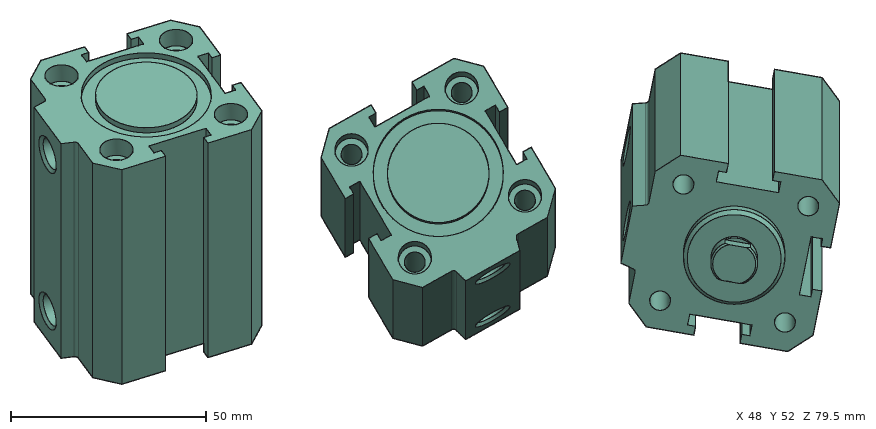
import cadquery as cq
import math

body_width = 48.0
body_height = 72.0
corner_chamfer = 5.58
half_width = body_width / 2

slot_mouth_width = 12.0
slot_channel_width = 16.2
slot_lip = 2.5
slot_depth = 5.5
slot_angles = (0, 90, -90)

rail_height = 4.0
rail_face_width = 16.0
rail_draft = math.radians(15)
rail_root_radius = 1.0
edge_tolerance = 0.1
rail_face_y = -half_width - rail_height

port_diameter = 8.57
port_mouth_diameter = 10.2
port_chamfer = (port_mouth_diameter - port_diameter) / 2
port_depth = 10.0
port_end_distance = 9.75

mount_spacing = 32.5
mount_diameter = 5.3
mount_counterbore_diameter = 8.5
mount_counterbore_depth = 5.5

recess_diameter = 33.3
recess_depth = 1.7
disc_diameter = 26.0

collar_diameter = 26.0
collar_length = 3.5
collar_chamfer = 1.0

rod_diameter = 12.0
rod_tip_z = -7.5
rod_flat_width = 10.0
rod_flat_top_z = -4.5
rod_tip_chamfer = 0.5
rod_top_z = body_height / 2


def make_profile():
    """Chamfered square with the tapered port rail on its -Y face."""
    square = (
        cq.Workplane("XY")
        .rect(body_width, body_width)
        .extrude(body_height)
        .edges("|Z")
        .chamfer(corner_chamfer)
    )
    rail_face_half = rail_face_width / 2
    rail_root_half = rail_face_half + rail_height * math.tan(rail_draft)
    rail = (
        cq.Workplane("XY")
        .polyline([
            (-rail_root_half, -half_width),
            (-rail_face_half, rail_face_y),
            (rail_face_half, rail_face_y),
            (rail_root_half, -half_width),
            (0, 0),
        ])
        .close()
        .extrude(body_height)
    )
    profile = square.union(rail)
    root_edges = cq.selectors.BoxSelector(
        (-rail_root_half - edge_tolerance, -half_width - edge_tolerance, 0),
        (rail_root_half + edge_tolerance, -half_width + edge_tolerance, body_height),
    )
    return profile.edges("|Z").edges(root_edges).fillet(rail_root_radius)


def make_slot(angle):
    """T-slot cutter opening at +Y, turned about Z by the angle in degrees."""
    mouth = (
        cq.Workplane("XY")
        .center(0, half_width - slot_depth / 2)
        .rect(slot_mouth_width, slot_depth)
        .extrude(body_height)
    )
    channel = (
        cq.Workplane("XY")
        .center(0, half_width - (slot_lip + slot_depth) / 2)
        .rect(slot_channel_width, slot_depth - slot_lip)
        .extrude(body_height)
    )
    return mouth.union(channel).rotate((0, 0, 0), (0, 0, 1), angle)


def make_port(z):
    """Blind port cutter with a chamfered mouth, revolved about its own axis."""
    bore_radius = port_diameter / 2
    return (
        cq.Workplane("XY", origin=(0, 0, z))
        .moveTo(0, rail_face_y)
        .lineTo(port_mouth_diameter / 2, rail_face_y)
        .lineTo(bore_radius, rail_face_y + port_chamfer)
        .lineTo(bore_radius, rail_face_y + port_depth)
        .lineTo(0, rail_face_y + port_depth)
        .close()
        .revolve(360, (0, 0, 0), (0, 1, 0))
    )


def add_head_end(housing):
    """Round recess in the top face with a flush disc left standing on its floor."""
    floor = cq.Workplane("XY", origin=(0, 0, body_height - recess_depth))
    recess = floor.circle(recess_diameter / 2).extrude(recess_depth)
    disc = floor.circle(disc_diameter / 2).extrude(recess_depth)
    return housing.cut(recess.cut(disc))


def make_collar():
    """Chamfered collar that guides the rod below the profile."""
    return (
        cq.Workplane("XY")
        .circle(collar_diameter / 2)
        .extrude(-collar_length)
        .faces("<Z")
        .chamfer(collar_chamfer)
    )


def make_housing():
    """Profile and collar with all slots, ports and holes cut."""
    housing = make_profile().union(make_collar())

    for angle in slot_angles:
        housing = housing.cut(make_slot(angle))

    for z in (port_end_distance, body_height - port_end_distance):
        housing = housing.cut(make_port(z))

    housing = (
        housing.faces(">Z")
        .workplane(origin=(0, 0, body_height))
        .rect(mount_spacing, mount_spacing, forConstruction=True)
        .vertices()
        .cboreHole(mount_diameter, mount_counterbore_diameter, mount_counterbore_depth)
    )
    housing = add_head_end(housing)

    rod_hole = (
        cq.Workplane("XY", origin=(0, 0, -collar_length))
        .circle(rod_diameter / 2)
        .extrude(collar_length + rod_top_z)
    )
    return housing.cut(rod_hole)


def make_rod():
    """Piston rod with a chamfered tip and two flats facing -X and +X."""
    rod = (
        cq.Workplane("XY", origin=(0, 0, rod_tip_z))
        .circle(rod_diameter / 2)
        .extrude(rod_top_z - rod_tip_z)
        .faces("<Z")
        .chamfer(rod_tip_chamfer)
    )
    flat_length = rod_flat_top_z - rod_tip_z
    tip = cq.Workplane("XY", origin=(0, 0, rod_tip_z))
    tip_stock = tip.rect(rod_diameter, rod_diameter).extrude(flat_length)
    tip_core = tip.rect(rod_flat_width, rod_diameter).extrude(flat_length)
    return rod.cut(tip_stock.cut(tip_core))


housing = make_housing()
rod = make_rod()
result = cq.Compound.makeCompound([housing.val(), rod.val()])